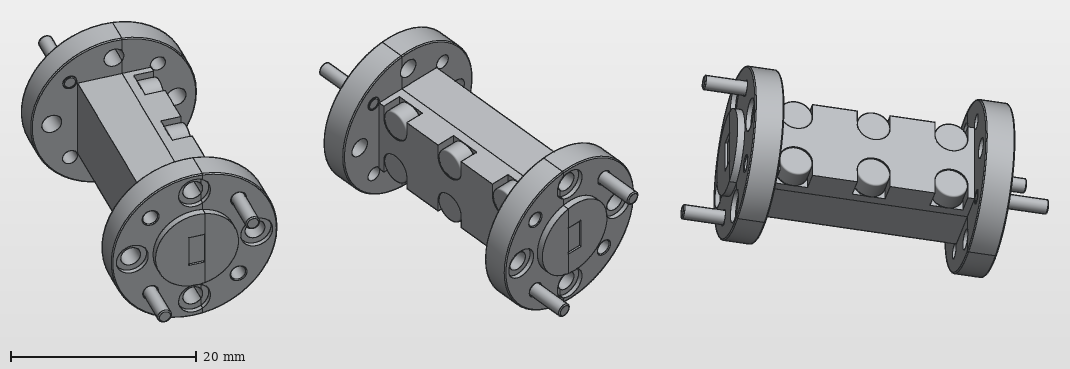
import cadquery as cq
import math


flange_dia = 19.05
flange_thickness = 3.24
flange_chamfer = 0.13
flange_inner_x = 11.22
flange_outer_x = flange_inner_x + flange_thickness

face_boss_dia = 9.53
face_boss_height = 0.8
face_x = flange_outer_x + face_boss_height

bar_front_y = -4.17
bar_back_y = 4.29
bar_half_height = 4.765

guide_width = 1.88
guide_height = 3.76
guide_depth = 0.25
split_y = guide_width / 2

pitch_radius = 7.144
pin_offset = pitch_radius * math.sin(math.radians(45))
screw_hole_dia = 2.27
counterbore_dia = 3.65
counterbore_depth = 0.55

pin_dia = 1.5875
pin_tip_x = 19.115
short_pin_tip_x = 19.05
pin_chamfer_length = 0.12
pin_chamfer_radial = 0.16
pin_receiving_hole_dia = 1.72
pin_hole_chamfer = 0.11

head_spacing = 8.636
head_dia = 3.65
head_center_z = 3.08
head_fillet = 0.2
slot_floor_y = 2.0
slot_depth = bar_back_y - slot_floor_y


def cylinder_along_x(diameter, x_start, x_end, y=0, z=0):
    return (
        cq.Workplane("YZ", origin=(x_start, y, z))
        .circle(diameter / 2)
        .extrude(x_end - x_start)
    )


def revolve_about_x(profile, side):
    """Round shape from (x, radius) points, at the +X (side = 1) or -X (side = -1) end."""
    outline = cq.Workplane("XZ").polyline([(side * x, radius) for x, radius in profile])
    return outline.close().revolve(360, (0, 0, 0), (1, 0, 0))


def chamfered_hole(diameter, side, y, z):
    """Cutter for a hole through a flange, with a chamfered mouth on the outer face."""
    radius = diameter / 2
    mouth_x = flange_outer_x - pin_hole_chamfer
    profile = [
        (flange_inner_x, 0),
        (flange_inner_x, radius),
        (mouth_x, radius),
        (flange_outer_x, radius + pin_hole_chamfer),
        (flange_outer_x, 0),
    ]
    return revolve_about_x(profile, side).translate((0, y, z))


def make_flange(side):
    """Flange without holes, at the +X (side = 1) or -X (side = -1) end."""
    disc = cylinder_along_x(flange_dia, side * flange_inner_x, side * flange_outer_x)
    disc = disc.edges().chamfer(flange_chamfer)
    return disc.union(cylinder_along_x(face_boss_dia, side * flange_outer_x, side * face_x))


def cut_flange_holes(body, side):
    """Four counterbored screw holes and four pin holes through one flange."""
    inner_x = side * flange_inner_x
    outer_x = side * flange_outer_x
    counterbore_x = side * (flange_outer_x - counterbore_depth)
    for y, z in [(pitch_radius, 0), (-pitch_radius, 0), (0, pitch_radius), (0, -pitch_radius)]:
        body = body.cut(cylinder_along_x(screw_hole_dia, inner_x, outer_x, y, z))
        body = body.cut(cylinder_along_x(counterbore_dia, counterbore_x, outer_x, y, z))
    for y_sign in (1, -1):
        pin_z = side * y_sign * pin_offset
        y = y_sign * pin_offset
        body = body.cut(chamfered_hole(pin_dia, side, y, pin_z))
        body = body.cut(chamfered_hole(pin_receiving_hole_dia, side, y, -pin_z))
    return body


def make_body():
    """Both halves as one shape, before the split."""
    body = (
        cq.Workplane()
        .box(2 * flange_inner_x, bar_back_y - bar_front_y, 2 * bar_half_height)
        .translate((0, (bar_back_y + bar_front_y) / 2, 0))
    )
    for side in (1, -1):
        body = body.union(make_flange(side))
    for side in (1, -1):
        body = cut_flange_holes(body, side)
    return body


def half_space(y_sign):
    """Block holding everything on one side of the split plane."""
    return (
        cq.Workplane("XY", origin=(0, split_y, 0))
        .box(2 * face_x, flange_dia, flange_dia)
        .translate((0, y_sign * flange_dia / 2, 0))
    )


def make_base(body):
    """Half on the -Y side, with the waveguide recess in both end faces."""
    base = body.intersect(half_space(-1))
    for side in (1, -1):
        recess = cq.Workplane().box(2 * guide_depth, guide_width, guide_height)
        base = base.cut(recess.translate((side * face_x, 0, 0)))
    return base


def head_cylinder(x, z):
    """Plain cylinder along Y, from the slot floor to the +Y face of the bar."""
    return (
        cq.Workplane("XZ", origin=(x, bar_back_y, z))
        .circle(head_dia / 2)
        .extrude(slot_depth)
    )


def make_screw_head(x, z):
    return head_cylinder(x, z).edges("%CIRCLE").fillet(head_fillet)


def make_slot(x, z_sign):
    """Slot open to the +Y face and to the top or bottom, with a round end under the head."""
    open_height = bar_half_height - head_center_z
    straight = (
        cq.Workplane()
        .box(head_dia, slot_depth, open_height)
        .translate((x, bar_back_y - slot_depth / 2, z_sign * (head_center_z + open_height / 2)))
    )
    return straight.union(head_cylinder(x, z_sign * head_center_z))


def make_cover(body):
    """Half on the +Y side, with three screw heads along its top and three along its bottom."""
    cover = body.intersect(half_space(1))
    for x in (-head_spacing, 0, head_spacing):
        for z_sign in (1, -1):
            cover = cover.cut(make_slot(x, z_sign))
            cover = cover.union(make_screw_head(x, z_sign * head_center_z))
    return cover


def make_pin(side, y_sign, tip_x):
    """Pin flush with the inner face of its flange, chamfered at both ends."""
    radius = pin_dia / 2
    end_radius = radius - pin_chamfer_radial
    profile = [
        (flange_inner_x, 0),
        (flange_inner_x, end_radius),
        (flange_inner_x + pin_chamfer_length, radius),
        (tip_x - pin_chamfer_length, radius),
        (tip_x, end_radius),
        (tip_x, 0),
    ]
    pin = revolve_about_x(profile, side)
    return pin.translate((0, y_sign * pin_offset, side * y_sign * pin_offset))


whole_body = make_body()
base = make_base(whole_body)
cover = make_cover(whole_body)

pins = []
for side in (1, -1):
    for y_sign in (1, -1):
        is_short = side == 1 and y_sign == -1
        tip_x = short_pin_tip_x if is_short else pin_tip_x
        pins.append(make_pin(side, y_sign, tip_x).val())

result = cq.Compound.makeCompound([base.val(), cover.val(), *pins])